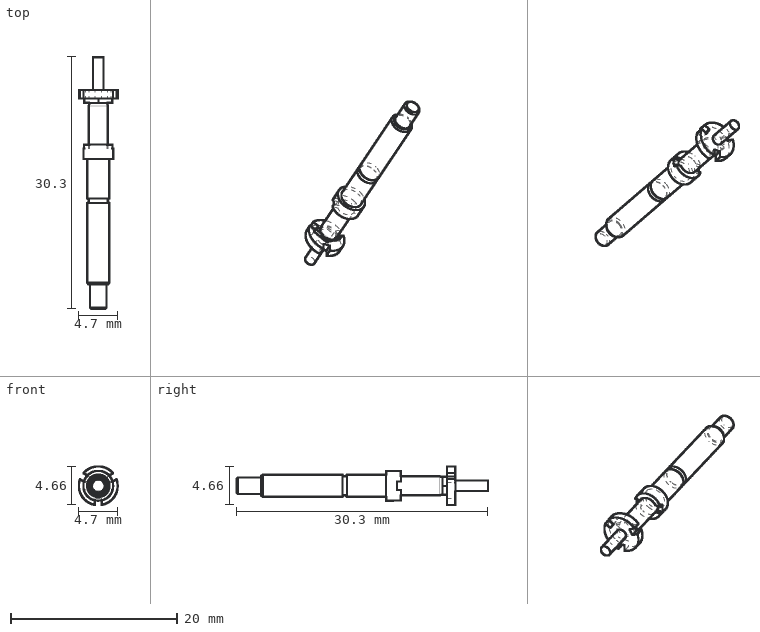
import cadquery as cq

length = 30.3

plunger_diameter = 2.0
plunger_radius = plunger_diameter / 2
plunger_length = 2.95
tip_chamfer = 0.2

barrel_diameter = 2.7
barrel_radius = barrel_diameter / 2
barrel_chamfer_length = 0.27
barrel_chamfer_depth = 0.18
groove_center_y = 13.03
groove_width = 0.58
groove_half_width = groove_width / 2
groove_depth = 0.197

collar_diameter = 3.6
collar_radius = collar_diameter / 2
collar_front_y = 18.03
collar_rear_y = 19.8
collar_notch_width = 1.03
collar_notch_depth = 0.45

neck_diameter = 2.3
neck_radius = neck_diameter / 2
neck_rear_y = 24.82
neck_taper_length = 0.35
neck_taper_depth = 0.05

key_half_width = 1.7
key_half_height = 1.1

flange_diameter = 4.7
flange_radius = flange_diameter / 2
flange_front_y = 25.33
flange_rear_y = 26.35
flange_notch_count = 3
flange_notch_width = 0.82
flange_notch_floor = 1.5
tail_diameter = 1.3
tail_radius = tail_diameter / 2


def cylinder(radius, start_y, end_y):
    """Solid cylinder on the Y axis between two stations."""
    return cq.Workplane("XZ", origin=(0, start_y, 0)).circle(radius).extrude(start_y - end_y)


def front_body():
    """Plunger, grooved barrel and neck revolved from one profile of (radius, y) points."""
    groove_bottom = barrel_radius - groove_depth
    groove_arc_radius = (groove_half_width**2 + groove_depth**2) / (2 * groove_depth)
    groove_front_y = groove_center_y - groove_half_width
    groove_rear_y = groove_center_y + groove_half_width
    profile = (
        cq.Workplane("XY")
        .lineTo(plunger_radius - tip_chamfer, 0)
        .lineTo(plunger_radius, tip_chamfer)
        .lineTo(plunger_radius, plunger_length)
        .lineTo(barrel_radius - barrel_chamfer_depth, plunger_length)
        .lineTo(barrel_radius, plunger_length + barrel_chamfer_length)
        .lineTo(barrel_radius, groove_front_y)
        .radiusArc((groove_bottom, groove_center_y), groove_arc_radius)
        .radiusArc((barrel_radius, groove_rear_y), groove_arc_radius)
        .lineTo(barrel_radius, collar_front_y)
        .lineTo(neck_radius, collar_front_y)
        .lineTo(neck_radius, neck_rear_y - neck_taper_length)
        .lineTo(neck_radius - neck_taper_depth, neck_rear_y)
        .lineTo(0, neck_rear_y)
        .close()
    )
    return profile.revolve(360, (0, 0, 0), (0, 1, 0))


def collar():
    """Ring around the neck whose rear face is notched down to the neck on both X sides."""
    ring = cylinder(collar_radius, collar_front_y, collar_rear_y)
    notch = cq.Workplane("XY").box(2 * collar_radius, collar_notch_depth, collar_notch_width)
    return ring.cut(notch.translate((0, collar_rear_y - collar_notch_depth / 2, 0)))


def key():
    """Diamond prism, wide along X."""
    return (
        cq.Workplane("XZ", origin=(0, neck_rear_y, 0))
        .polyline([(key_half_width, 0), (0, key_half_height), (-key_half_width, 0), (0, -key_half_height)])
        .close()
        .extrude(neck_rear_y - flange_front_y)
    )


def flange():
    """Disc with evenly spaced flat-floored rim notches, the first one pointing down."""
    disc = cylinder(flange_radius, flange_front_y, flange_rear_y)
    thickness = flange_rear_y - flange_front_y
    notch = (
        cq.Workplane("XY")
        .box(flange_notch_width, thickness, flange_radius, centered=(True, False, False))
        .translate((0, flange_front_y, -flange_notch_floor - flange_radius))
    )
    for index in range(flange_notch_count):
        angle = index * 360 / flange_notch_count
        disc = disc.cut(notch.rotate((0, 0, 0), (0, 1, 0), angle))
    return disc


tail = cylinder(tail_radius, flange_rear_y, length)

result = front_body().union(collar()).union(key()).union(flange()).union(tail)